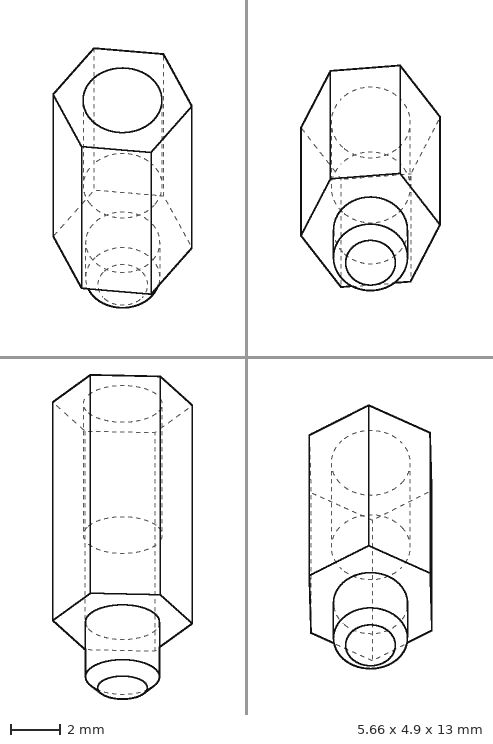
import cadquery as cq
import math

total_length = 13.0
stud_length = 3.0
stud_diameter = 3.0
tip_chamfer = 0.5
across_flats = 4.9
bore_diameter = 3.2
bore_depth = 6.0

body_length = total_length - stud_length
across_corners = across_flats / math.cos(math.radians(30))


def hex_body():
    """Hexagonal prism standing on Z = 0, with two corners on the X axis."""
    return cq.Workplane("XY").polygon(6, across_corners).extrude(body_length)


def stud():
    """Round pin below the body, with a chamfered lower tip."""
    pin = cq.Workplane("XY").circle(stud_diameter / 2).extrude(-stud_length)
    return pin.faces("<Z").chamfer(tip_chamfer)


def bore():
    """Blind, flat-bottomed hole from the top of the body."""
    top = cq.Workplane("XY").workplane(offset=body_length)
    return top.circle(bore_diameter / 2).extrude(-bore_depth)


result = hex_body().union(stud()).cut(bore())